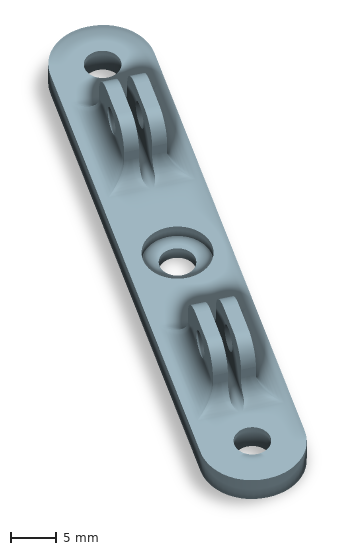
import cadquery as cq

plate_length = 72.0
plate_width = 12.0
plate_thickness = 3.0
plate_corner_radius = 5.9
end_hole_diameter = 4.2
end_hole_spacing = plate_length - plate_width

screw_hole_diameter = 4.2
counterbore_diameter = 8.0
counterbore_depth = 1.5

total_height = 10.0
clevis_offset = 17.8
ear_length = 10.0
ear_outer_span = 5.0
slot_width = 1.5
ear_corner_radius = 3.0
pin_hole_diameter = 3.2
pin_hole_drop = 3.0

outer_flare_radius = 2.5
inner_flare_radius = 0.5

ear_height = total_height - plate_thickness
pin_hole_z = total_height - pin_hole_drop
embed_depth = 0.7


def flared_profile(plane, left, right, left_radius, right_radius):
    """Upright wall between left and right, flared by a quarter arc at each foot."""
    diagonal = 1 - 0.5 ** 0.5
    left_foot = left - left_radius
    right_foot = right + right_radius
    return (
        cq.Workplane(plane)
        .moveTo(left_foot, -embed_depth)
        .lineTo(left_foot, 0)
        .threePointArc((left - diagonal * left_radius, diagonal * left_radius), (left, left_radius))
        .lineTo(left, ear_height)
        .lineTo(right, ear_height)
        .lineTo(right, right_radius)
        .threePointArc((right + diagonal * right_radius, diagonal * right_radius), (right_foot, 0))
        .lineTo(right_foot, -embed_depth)
        .close()
    )


def make_plate():
    plate = (
        cq.Workplane("XY")
        .rect(plate_length, plate_width)
        .extrude(plate_thickness)
        .edges("|Z").fillet(plate_corner_radius)
    )
    return (
        plate.faces(">Z").workplane()
        .pushPoints([(-end_hole_spacing / 2, 0), (end_hole_spacing / 2, 0)])
        .hole(end_hole_diameter)
        .faces(">Z").workplane(origin=(0, 0, plate_thickness))
        .cboreHole(screw_hole_diameter, counterbore_diameter, counterbore_depth)
    )


def make_ear():
    """Ear on the +Y side of the slot, centred on X and standing on Z = 0."""
    side = flared_profile(
        "XZ", -ear_length / 2, ear_length / 2, outer_flare_radius, outer_flare_radius
    ).extrude(plate_width / 2, both=True)
    side = side.faces(">Z").edges("|Y").fillet(ear_corner_radius)
    section = flared_profile(
        "YZ", slot_width / 2, ear_outer_span / 2, inner_flare_radius, outer_flare_radius
    ).extrude(plate_length / 2, both=True)
    return side.intersect(section)


def make_clevis(x):
    ear = make_ear()
    ears = ear.union(ear.mirror("XZ")).translate((x, 0, plate_thickness))
    pin_hole = (
        cq.Workplane("XZ")
        .center(x, pin_hole_z)
        .circle(pin_hole_diameter / 2)
        .extrude(plate_width / 2, both=True)
    )
    return ears.cut(pin_hole)


result = make_plate()
for clevis_x in (-clevis_offset, clevis_offset):
    result = result.union(make_clevis(clevis_x))